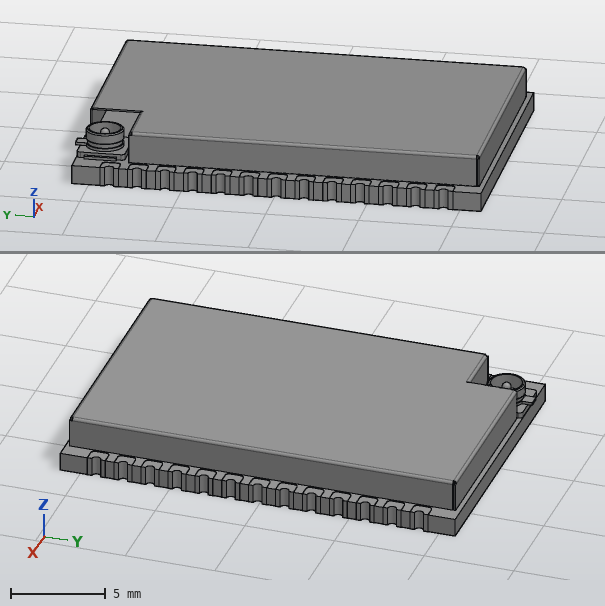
import cadquery as cq
import math

board_thickness = 1.02
board_length = 22.03
board_width = 15.05

pad_count = 13
pad_row_length = 18.0
pad_width = 1.0
pad_reach = 0.8
pad_corner_radius = 0.22
plating_thickness = 0.02
castellation_radius = 0.25

total_height = 2.8
shield_width = 13.46
shield_length = 21.54
sheet_thickness = 0.1
bend_radius = 0.15
wall_gap = 0.07
notch_width = 3.2
notch_length = 2.67

connector_x = -4.98
connector_y = 9.7
base_size = 2.58
base_height = 0.31
base_corner_radius = 0.2
lead_width = 0.62
lead_thickness = 0.15
upper_lead_overhang = 0.22
side_tab_length = 1.74
barrel_height = 0.95
barrel_radius = 1.0
barrel_bore_radius = 0.85
barrel_rim_chamfer = 0.07
barrel_groove_depth = 0.07
barrel_groove_bottom = 0.15
barrel_groove_width = 0.25
barrel_floor_thickness = 0.15
pin_radius = 0.25
pin_height = 0.93

pad_pitch = pad_row_length / (pad_count - 1)
shield_left = -shield_width / 2
shield_back = shield_length / 2
notch_wall_x = shield_left + notch_width
notch_wall_y = shield_back - notch_length
wall_bottom = board_thickness + wall_gap
base_top = board_thickness + base_height


def box(x_min, x_max, y_min, y_max, z_min, z_max):
    """Axis-aligned block between the given limits."""
    size = (x_max - x_min, y_max - y_min, z_max - z_min)
    return cq.Workplane("XY").box(*size, centered=False).translate((x_min, y_min, z_min))


def make_pad(side, y):
    """Plated pad wrapping one long edge; side is -1 for the -X edge and +1 for the +X edge."""
    outer_x = board_width / 2 + plating_thickness
    pad = box(outer_x - pad_reach, outer_x, -pad_width / 2, pad_width / 2,
              0, board_thickness + plating_thickness)
    pad = pad.edges("|Z and <X").fillet(pad_corner_radius)
    if side < 0:
        pad = pad.mirror("YZ")
    return pad.translate((0, y, 0))


def make_castellation(side, y):
    """Round cutter whose axis lies on the outer face of a pad."""
    height = board_thickness + plating_thickness
    center = (side * (board_width / 2 + plating_thickness), y)
    return cq.Workplane("XY").center(*center).circle(castellation_radius).extrude(height)


def make_board():
    """Flat board with a row of castellated pads centred along each long edge."""
    board = cq.Workplane("XY").box(board_width, board_length, board_thickness,
                                   centered=(True, True, False))
    for side in (-1, 1):
        for i in range(pad_count):
            y = (i - (pad_count - 1) / 2) * pad_pitch
            board = board.union(make_pad(side, y)).cut(make_castellation(side, y))
    return board


def make_shield_wall(start, heading, length, start_gap, end_gap):
    """Wall bent down from the shield roof along the line from start towards heading (degrees).

    The bend leaves out start_gap and end_gap; the straight part below it fills the start gap too.
    The inside of the shield lies to the left of the heading.
    """
    bend_inner_radius = bend_radius - sheet_thickness
    bend_bottom = total_height - bend_radius
    outer_offset = bend_radius * (1 - math.sqrt(0.5))
    inner_offset = bend_radius - bend_inner_radius * math.sqrt(0.5)
    section = (
        cq.Workplane("YZ")
        .moveTo(0, wall_bottom)
        .lineTo(0, bend_bottom)
        .threePointArc((outer_offset, total_height - outer_offset), (bend_radius, total_height))
        .lineTo(bend_radius, total_height - sheet_thickness)
        .threePointArc((inner_offset, total_height - inner_offset), (sheet_thickness, bend_bottom))
        .lineTo(sheet_thickness, wall_bottom)
        .close()
    )
    wall = section.extrude(length - start_gap - end_gap).translate((start_gap, 0, 0))
    if start_gap > 0:
        wall = wall.union(box(0, start_gap, 0, sheet_thickness, wall_bottom, bend_bottom))
    return wall.rotate((0, 0, 0), (0, 0, 1), heading).translate((*start, 0))


def make_shield():
    """Sheet-metal can: a notched roof with bent walls; the notch has no wall along its X limit."""
    shield = (
        cq.Workplane("XY", origin=(0, 0, total_height - sheet_thickness))
        .moveTo(shield_left + bend_radius, -shield_back + bend_radius)
        .lineTo(-shield_left - bend_radius, -shield_back + bend_radius)
        .lineTo(-shield_left - bend_radius, shield_back - bend_radius)
        .lineTo(notch_wall_x, shield_back - bend_radius)
        .lineTo(notch_wall_x, notch_wall_y - bend_radius)
        .lineTo(shield_left + bend_radius, notch_wall_y - bend_radius)
        .close()
        .extrude(sheet_thickness)
    )
    front = make_shield_wall((shield_left, -shield_back), 0, shield_width, bend_radius, bend_radius)
    right = make_shield_wall((-shield_left, -shield_back), 90, shield_length, bend_radius, bend_radius)
    back = make_shield_wall((-shield_left, shield_back), 180, shield_width - notch_width, bend_radius, 0)
    notch = make_shield_wall((notch_wall_x, notch_wall_y), 180, notch_width, 0, bend_radius)
    left = make_shield_wall((shield_left, notch_wall_y), 270, shield_length - notch_length,
                            bend_radius, bend_radius)
    for wall in (front, right, back, notch, left):
        shield = shield.union(wall)
    return shield


def make_barrel():
    """Open cup with an outer groove and a domed centre pin, standing on the connector base."""
    groove_top = barrel_groove_bottom + barrel_groove_width
    groove_radius = barrel_radius - barrel_groove_depth
    dome_start = pin_height - pin_radius
    dome_offset = pin_radius * math.sqrt(0.5)
    profile = (
        cq.Workplane("XZ")
        .lineTo(barrel_radius, 0)
        .lineTo(barrel_radius, barrel_groove_bottom)
        .lineTo(groove_radius, barrel_groove_bottom)
        .lineTo(groove_radius, groove_top)
        .lineTo(barrel_radius, groove_top)
        .lineTo(barrel_radius, barrel_height - barrel_rim_chamfer)
        .lineTo(barrel_radius - barrel_rim_chamfer, barrel_height)
        .lineTo(barrel_bore_radius, barrel_height)
        .lineTo(barrel_bore_radius, barrel_floor_thickness)
        .lineTo(pin_radius, barrel_floor_thickness)
        .lineTo(pin_radius, dome_start)
        .threePointArc((dome_offset, dome_start + dome_offset), (0, pin_height))
        .close()
    )
    barrel = profile.revolve(360, (0, 0, 0), (0, 1, 0))
    return barrel.translate((connector_x, connector_y, base_top))


def make_connector():
    """Square base with signal leads along Y, ground tabs along X and the barrel on top."""
    base = cq.Workplane("XY").box(base_size, base_size, base_height, centered=(True, True, False))
    base = base.edges("|Z").fillet(base_corner_radius)
    base = base.translate((connector_x, connector_y, board_thickness))

    lead_left = connector_x - lead_width / 2
    lead_right = connector_x + lead_width / 2
    upper_lead_end = board_length / 2 + upper_lead_overhang
    upper_lead = box(lead_left, lead_right, connector_y + barrel_bore_radius, upper_lead_end,
                     base_top, base_top + lead_thickness)
    lower_lead = box(lead_left, lead_right, notch_wall_y, connector_y,
                     board_thickness, board_thickness + lead_thickness)

    side_tab_reach = notch_wall_x - connector_x
    side_tabs = box(connector_x - side_tab_reach, connector_x + side_tab_reach,
                    connector_y - side_tab_length / 2, connector_y + side_tab_length / 2,
                    board_thickness, board_thickness + lead_thickness)
    return base.union(upper_lead).union(lower_lead).union(side_tabs).union(make_barrel())


board = make_board()
shield = make_shield()
connector = make_connector()

result = cq.Compound.makeCompound([board.val(), shield.val(), connector.val()])